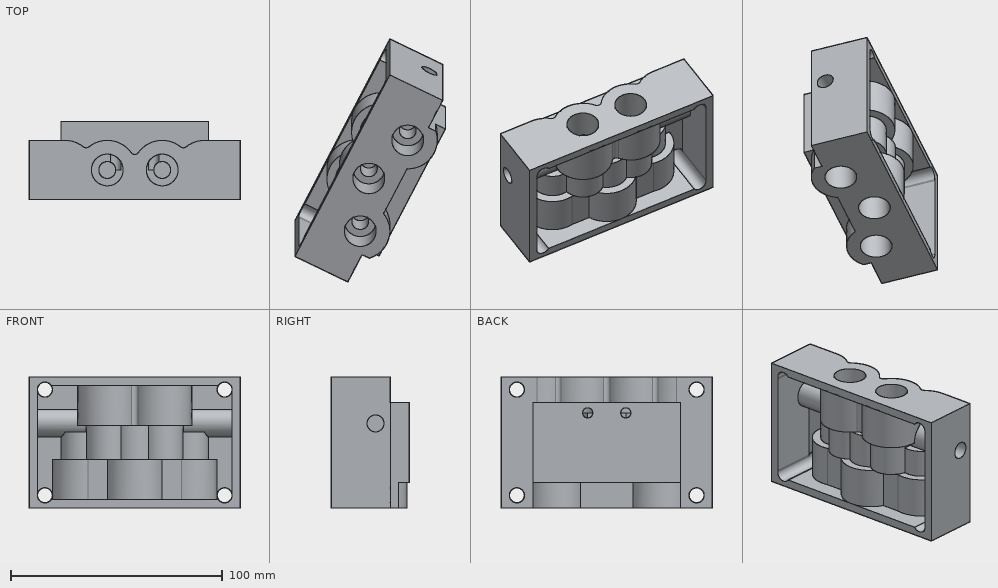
import cadquery as cq
import math

length = 100.0
body_depth = 28.0
height = 62.0
wall = 4.0
cavity_depth = 22.4
cavity_corner_radius = 3.0

pad_width = 70.0
pad_back = 37.0
pad_bottom = 12.0
pad_top = 50.0

boss_radius = 14.0
boss_length = 23.0
neck_radius = 10.0
neck_top = 36.0
front_row_y = 14.0
rear_row_y = 22.0
top_port_x = 13.0
outer_port_x = 25.0
web_front = 8.3

port_radius = 7.5
port_depth = 17.0
drill_radius = 4.0
drill_depth = 32.0

shoulder_x = 33.0
valley_radius = 2.0

duct_y = 21.0
duct_z = 40.0
duct_outer_radius = 6.5
duct_hole_radius = 4.0
duct_hole_depth = 30.0

passage_x = 9.0
passage_radius = 2.4

screw_radius = 3.5
screw_x = 42.5
screw_edge = 6.0


def block(x_half, y_min, y_max, z_min, z_max):
    """Box centred on X between the given Y and Z limits."""
    size = (2 * x_half, y_max - y_min, z_max - z_min)
    return cq.Workplane("XY").box(*size, centered=(True, False, False)).translate((0, y_min, z_min))


def post(x, y, radius, z_min, z_max):
    """Vertical cylinder."""
    return cq.Workplane("XY", origin=(x, y, z_min)).circle(radius).extrude(z_max - z_min)


def bar_along_y(x, z, radius, y_min, y_max):
    """Cylinder running along Y."""
    return cq.Workplane("XZ", origin=(x, y_min, z)).circle(radius).extrude(y_min - y_max)


def bar_along_x(x_min, x_max, radius):
    """Cylinder on the duct axis."""
    return cq.Workplane("YZ", origin=(x_min, duct_y, duct_z)).circle(radius).extrude(x_max - x_min)


def valley_cutter(left, right, z_min, z_max):
    """Everything behind the rounded valley between two equal bosses at (x, y) left and right."""
    reach = boss_radius + valley_radius
    dx = right[0] - left[0]
    dy = right[1] - left[1]
    span = math.hypot(dx, dy)
    rise = math.sqrt(reach**2 - (span / 2) ** 2)
    centre_x = (left[0] + right[0]) / 2 - dy / span * rise
    centre_y = (left[1] + right[1]) / 2 + dx / span * rise

    def tangent_point(boss):
        ratio = boss_radius / reach
        return (boss[0] + (centre_x - boss[0]) * ratio, boss[1] + (centre_y - boss[1]) * ratio)

    def point_on_boss(boss, towards):
        """Middle of the boss arc between its crown and the tangent point."""
        angle = (math.pi / 2 + math.atan2(towards[1] - boss[1], towards[0] - boss[0])) / 2
        return (boss[0] + boss_radius * math.cos(angle), boss[1] + boss_radius * math.sin(angle))

    left_tangent = tangent_point(left)
    right_tangent = tangent_point(right)
    left_crown = (left[0], left[1] + boss_radius)
    right_crown = (right[0], right[1] + boss_radius)
    middle_angle = math.atan2(-dx, dy)
    valley_floor = (
        centre_x + valley_radius * math.cos(middle_angle),
        centre_y + valley_radius * math.sin(middle_angle),
    )
    return (
        cq.Workplane("XY", origin=(0, 0, z_min))
        .moveTo(*left_crown)
        .threePointArc(point_on_boss(left, left_tangent), left_tangent)
        .threePointArc(valley_floor, right_tangent)
        .threePointArc(point_on_boss(right, right_tangent), right_crown)
        .lineTo(right[0], pad_back)
        .lineTo(left[0], pad_back)
        .close()
        .extrude(z_max - z_min)
    )


top_ports = [(side * top_port_x, front_row_y) for side in (-1, 1)]
outer_ports = [(side * outer_port_x, rear_row_y) for side in (-1, 1)]
middle_port = (0, front_row_y)
bottom_ports = outer_ports + [middle_port]
half_length = length / 2
top_boss_bottom = height - boss_length
inner_half = half_length - wall

tray = block(half_length, 0, body_depth, 0, height)
cavity = block(inner_half, 0, cavity_depth, wall, height - wall)
tray = tray.cut(cavity.edges("|Y").fillet(cavity_corner_radius))

ledge_bottom = duct_z + duct_outer_radius
tray = tray.union(block(inner_half, duct_y, body_depth, ledge_bottom, height - wall))

pad = block(pad_width / 2, cavity_depth, pad_back, pad_bottom, pad_top)
foot_space = block(pad_width / 2, cavity_depth, pad_back, 0, pad_bottom)
result = tray.union(pad)
for x, y in outer_ports:
    result = result.union(foot_space.intersect(post(x, y, boss_radius, 0, pad_bottom)))

bosses = block(outer_port_x, web_front, body_depth, 0, boss_length)
for x, y in bottom_ports:
    bosses = bosses.union(post(x, y, boss_radius, 0, boss_length))
for x, y in outer_ports:
    bosses = bosses.union(post(x, y, neck_radius, 0, neck_top))
bosses = bosses.union(post(*middle_port, neck_radius, 0, top_boss_bottom))

filler_half = top_port_x * valley_radius / (boss_radius + valley_radius)
filler = block(filler_half, 0, body_depth, top_boss_bottom, height - wall)
front_valley = valley_cutter(*top_ports, top_boss_bottom, height - wall).mirror("XZ", (0, front_row_y, 0))
bosses = bosses.union(filler.cut(front_valley))
for x, y in top_ports:
    bosses = bosses.union(post(x, y, boss_radius, top_boss_bottom, height - wall))
    bosses = bosses.union(post(x, y, neck_radius, boss_length, height - wall))

housing_space = block(half_length, 0, body_depth, 0, height)
result = result.union(bosses.intersect(housing_space))

crowns = [(-shoulder_x, front_row_y), *top_ports, (shoulder_x, front_row_y)]
for left, right in zip(crowns, crowns[1:]):
    result = result.cut(valley_cutter(left, right, pad_top, height))

for side in (-1, 1):
    result = result.union(bar_along_x(side * top_port_x, side * inner_half, duct_outer_radius))
for side in (-1, 1):
    start = side * (half_length - duct_hole_depth)
    result = result.cut(bar_along_x(start, side * half_length, duct_hole_radius))

for x, y in top_ports:
    result = result.cut(post(x, y, port_radius, height - port_depth, height))
    result = result.cut(post(x, y, drill_radius, height - drill_depth, height))
for x, y in bottom_ports:
    result = result.cut(post(x, y, port_radius, 0, port_depth))
    result = result.cut(post(x, y, drill_radius, 0, drill_depth))

for side in (-1, 1):
    result = result.cut(
        bar_along_y(side * passage_x, height - port_depth, passage_radius, front_row_y, pad_back)
    )

for x in (-screw_x, screw_x):
    for z in (screw_edge, height - screw_edge):
        result = result.cut(bar_along_y(x, z, screw_radius, 0, body_depth))